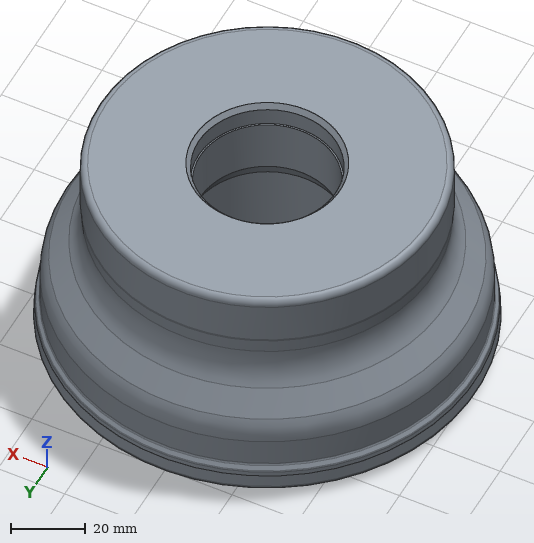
import cadquery as cq
import math

quarter_turn = math.radians(90.0)

total_height = 63.0
rim_height = 7.1

neck_radius = 50.0
neck_top_fillet = 2.0
neck_taper_start = 48.0
neck_taper_angle = math.radians(4.8)
neck_blend_radius = 5.0

shoulder_angle = math.radians(40.0)
throat_radius = 15.0
shoulder_radius = 10.0
shoulder_base = 19.2
cone_height = 6.4

skirt_radius = 60.75
flange_top = 10.55
flange_angle = math.radians(40.0)
flange_root_fillet = 1.0
flange_edge_fillet = 0.7

outer_radius = 62.5
rim_widest_height = 3.3
rim_draft_angle = math.radians(5.0)
rim_edge_round = 1.5
rim_floor_angle = math.radians(16.0)

bore_radius = 20.0
counterbore_radius = 20.5
counterbore_depth = 7.0
mouth_radius = 21.75
mouth_depth = 1.5
bore_end_depth = 23.6
cavity_radius = 22.1
cavity_angle = math.radians(25.0)


def arc_point(center, radius, angle):
    """Point on an arc; the angle is measured up from the outward radial direction."""
    return (center[0] + radius * math.cos(angle), center[1] + radius * math.sin(angle))


def drafted_radius(height):
    """Outer radius of the drafted edge shared by the flange and the rim ring."""
    return outer_radius - (height - rim_widest_height) * math.tan(rim_draft_angle)


def cup_outline():
    convex_center = (skirt_radius - shoulder_radius, shoulder_base)
    convex_mid = arc_point(convex_center, shoulder_radius, shoulder_angle / 2)
    cone_bottom = arc_point(convex_center, shoulder_radius, shoulder_angle)
    cone_top = (cone_bottom[0] - cone_height * math.tan(shoulder_angle), cone_bottom[1] + cone_height)
    concave_center = arc_point(cone_top, throat_radius, shoulder_angle)
    concave_mid = arc_point(concave_center, -throat_radius, (shoulder_angle - neck_taper_angle) / 2)
    taper_bottom = arc_point(concave_center, -throat_radius, -neck_taper_angle)

    blend_center = (neck_radius - neck_blend_radius, neck_taper_start)
    blend_mid = arc_point(blend_center, neck_blend_radius, -neck_taper_angle / 2)
    blend_end = arc_point(blend_center, neck_blend_radius, -neck_taper_angle)

    top_center = (neck_radius - neck_top_fillet, total_height - neck_top_fillet)
    top_mid = arc_point(top_center, neck_top_fillet, quarter_turn / 2)

    root_center = (skirt_radius + flange_root_fillet, flange_top)
    root_mid = arc_point(root_center, -flange_root_fillet, flange_angle / 2)
    root_end = arc_point(root_center, -flange_root_fillet, flange_angle)
    slope = math.tan(flange_angle)
    draft = math.tan(rim_draft_angle)
    corner_drop = (drafted_radius(root_end[1]) - root_end[0]) / (slope - draft)
    corner = (root_end[0] + corner_drop * slope, root_end[1] - corner_drop)
    setback = flange_edge_fillet * math.tan((flange_angle - rim_draft_angle) / 2)
    edge_start = (
        corner[0] - setback * math.sin(flange_angle),
        corner[1] + setback * math.cos(flange_angle),
    )
    edge_center = arc_point(edge_start, -flange_edge_fillet, flange_angle)
    edge_mid = arc_point(edge_center, flange_edge_fillet, (flange_angle + rim_draft_angle) / 2)
    edge_end = arc_point(edge_center, flange_edge_fillet, rim_draft_angle)

    counterbore_floor = total_height - counterbore_depth
    bore_end = total_height - bore_end_depth
    flare_end = bore_end - (cavity_radius - bore_radius) / math.tan(cavity_angle)

    return (
        cq.Workplane("XZ")
        .moveTo(cavity_radius, rim_height)
        .lineTo(drafted_radius(rim_height), rim_height)
        .lineTo(*edge_end)
        .threePointArc(edge_mid, edge_start)
        .lineTo(*root_end)
        .threePointArc(root_mid, (skirt_radius, flange_top))
        .lineTo(skirt_radius, shoulder_base)
        .threePointArc(convex_mid, cone_bottom)
        .lineTo(*cone_top)
        .threePointArc(concave_mid, taper_bottom)
        .lineTo(*blend_end)
        .threePointArc(blend_mid, (neck_radius, neck_taper_start))
        .lineTo(neck_radius, top_center[1])
        .threePointArc(top_mid, (top_center[0], total_height))
        .lineTo(mouth_radius, total_height)
        .lineTo(counterbore_radius, total_height - mouth_depth)
        .lineTo(counterbore_radius, counterbore_floor)
        .lineTo(bore_radius, counterbore_floor)
        .lineTo(bore_radius, bore_end)
        .lineTo(cavity_radius, flare_end)
        .close()
    )


def rim_outline():
    floor_normal = rim_floor_angle - quarter_turn
    edge_center = (outer_radius - rim_edge_round, rim_widest_height)
    edge_mid = arc_point(edge_center, rim_edge_round, floor_normal / 2)
    edge_end = arc_point(edge_center, rim_edge_round, floor_normal)
    floor_radius = edge_end[0] - edge_end[1] / math.tan(rim_floor_angle)
    return (
        cq.Workplane("XZ")
        .moveTo(cavity_radius, 0)
        .lineTo(floor_radius, 0)
        .lineTo(*edge_end)
        .threePointArc(edge_mid, (outer_radius, rim_widest_height))
        .lineTo(drafted_radius(rim_height), rim_height)
        .lineTo(cavity_radius, rim_height)
        .close()
    )


def turned(outline):
    return outline.revolve(360, (0, 0, 0), (0, 1, 0))


cup = turned(cup_outline())
rim_ring = turned(rim_outline())

result = cq.Compound.makeCompound([cup.val(), rim_ring.val()])